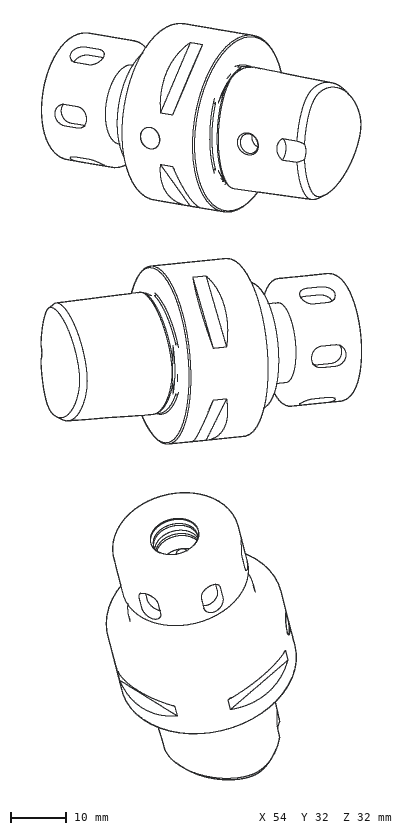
import cadquery as cq
import math

total_length = 54.0

nut_radius = 23.0 / 2
nut_length = 11.4
nut_front_fillet = 1.5
nut_back_fillet = 0.55

neck_radius = 14.35 / 2
neck_end = 16.0
neck_fillet = 0.8

collar_radius = nut_radius
collar_front_fillet = 1.0
collar_back_fillet = 0.95

flange_radius = 32.0 / 2
flange_start = 19.85
flange_end = 35.05
flange_front_fillet = 0.55
flange_back_chamfer = 0.25

lobe_height = 0.7
shank_start = 36.8
shank_mean_radius = 11.0
shank_taper = 0.025
shank_chamfer_length = 1.2
shank_chamfer_depth = 0.7
outline_step = 10
undercut_depth = 0.1
undercut_radius = 10.9
undercut_fillet = 0.3
undercut_cone_start = 35.9
undercut_flare = 0.3

slot_count = 6
slot_center_x = 6.75
slot_length = 6.6
slot_width = 4.0
slot_floor_radius = 9.3
bore_radius = 4.05
bore_mouth_radius = 8.8 / 2
bore_mouth_depth = 0.25
bore_cone_end = 0.95
bore_depth = 7.55
front_groove = (1.45, 2.75, 12.1 / 2)
rear_groove = (3.6, 4.15, 9.7 / 2)

floor_hole_diameter = 2.0
floor_hole_offset = 2.95
floor_hole_cone_start = 9.7

gripper_count = 4
gripper_first_angle = 45.0
gripper_center_x = 28.95
gripper_floor_width = 2.55
gripper_floor_radius = 14.2
gripper_wall_angle = 30.0
dimple_x = 25.9
dimple_diameter = 4.0

blind_hole_x = 42.9
blind_hole_diameter = 3.6
blind_hole_mouth_diameter = 4.3
blind_hole_depth = 4.3
drive_slot_diameter = 4.55
drive_slot_axis_y = -10.9
drive_slot_start = 49.85
drive_slot_dome_length = 1.25

drill_point_angle = 118.0
cut_margin = 0.55


def polygon_point(mean_radius, angle):
    """Point of the constant-width lobed outline whose normal is at the given angle."""
    support = mean_radius + lobe_height * math.cos(3 * angle)
    slope = -3 * lobe_height * math.sin(3 * angle)
    return (
        support * math.cos(angle) - slope * math.sin(angle),
        support * math.sin(angle) + slope * math.cos(angle),
    )


def polygon_prism(start, end, start_radius, end_radius):
    def outline(plane, mean_radius):
        angles = [math.radians(i * outline_step - 90) for i in range(360 // outline_step)]
        points = [polygon_point(mean_radius, angle) for angle in angles]
        return plane.spline(points, periodic=True, makeWire=True)

    section = outline(cq.Workplane("YZ", origin=(start, 0, 0)), start_radius)
    section = outline(section.workplane(offset=end - start), end_radius)
    return section.loft(ruled=True)


def revolve_about_x(profile):
    return profile.close().revolve(360, (0, 0, 0), (1, 0, 0))


def turned_body():
    """Nut, neck, collar and flange in one revolved outline."""
    profile = (
        cq.Workplane("XY")
        .lineTo(0, nut_radius - nut_front_fillet)
        .radiusArc((nut_front_fillet, nut_radius), nut_front_fillet)
        .lineTo(nut_length - nut_back_fillet, nut_radius)
        .radiusArc((nut_length, nut_radius - nut_back_fillet), nut_back_fillet)
        .lineTo(nut_length, neck_radius)
        .lineTo(neck_end - neck_fillet, neck_radius)
        .radiusArc((neck_end, neck_radius + neck_fillet), -neck_fillet)
        .lineTo(neck_end, collar_radius - collar_front_fillet)
        .radiusArc((neck_end + collar_front_fillet, collar_radius), collar_front_fillet)
        .lineTo(flange_start - collar_back_fillet, collar_radius)
        .radiusArc((flange_start, collar_radius + collar_back_fillet), -collar_back_fillet)
        .lineTo(flange_start, flange_radius - flange_front_fillet)
        .radiusArc((flange_start + flange_front_fillet, flange_radius), flange_front_fillet)
        .lineTo(flange_end - flange_back_chamfer, flange_radius)
        .lineTo(flange_end, flange_radius - flange_back_chamfer)
        .lineTo(flange_end, 0)
    )
    return revolve_about_x(profile)


def shank():
    chamfer_start = total_length - shank_chamfer_length
    back_radius = shank_mean_radius - shank_taper * (chamfer_start - shank_start)
    tip_radius = back_radius - shank_chamfer_depth
    main = polygon_prism(shank_start, chamfer_start, shank_mean_radius, back_radius)
    tip = polygon_prism(chamfer_start, total_length, back_radius, tip_radius)

    neck_polygon_radius = shank_mean_radius - undercut_depth
    neck_start = flange_end + undercut_flare
    neck_stop = shank_start - undercut_flare
    neck = (
        polygon_prism(flange_end, neck_start, shank_mean_radius + undercut_depth, neck_polygon_radius)
        .union(polygon_prism(neck_start, neck_stop, neck_polygon_radius, neck_polygon_radius))
        .union(polygon_prism(neck_stop, shank_start, neck_polygon_radius, shank_mean_radius))
    )
    cone_radius = undercut_radius + shank_start - undercut_cone_start
    turned = revolve_about_x(
        cq.Workplane("XY")
        .moveTo(flange_end, 0)
        .lineTo(flange_end, undercut_radius + undercut_fillet)
        .radiusArc((flange_end + undercut_fillet, undercut_radius), -undercut_fillet)
        .lineTo(undercut_cone_start, undercut_radius)
        .lineTo(shank_start, cone_radius)
        .lineTo(shank_start, 0)
    )
    return neck.intersect(turned).union(main).union(tip)


def front_bore():
    profile = (
        cq.Workplane("XY")
        .lineTo(0, bore_mouth_radius)
        .lineTo(bore_mouth_depth, bore_mouth_radius)
        .lineTo(bore_cone_end, bore_radius)
    )
    for start, end, radius in (front_groove, rear_groove):
        profile = profile.lineTo(start, bore_radius).lineTo(start, radius)
        profile = profile.lineTo(end, radius).lineTo(end, bore_radius)
    return revolve_about_x(profile.lineTo(bore_depth, bore_radius).lineTo(bore_depth, 0))


def floor_holes():
    cone_tip = floor_hole_cone_start + bore_radius / math.tan(math.radians(drill_point_angle / 2))
    pointed_core = revolve_about_x(
        cq.Workplane("XY")
        .moveTo(bore_depth, 0)
        .lineTo(bore_depth, bore_radius)
        .lineTo(floor_hole_cone_start, bore_radius)
        .lineTo(cone_tip, 0)
    )
    holes = (
        cq.Workplane("YZ", origin=(bore_depth, 0, 0))
        .pushPoints([(0, floor_hole_offset), (0, -floor_hole_offset)])
        .circle(floor_hole_diameter / 2)
        .extrude(cone_tip - bore_depth)
    )
    return holes.intersect(pointed_core)


def nut_slot():
    """Flat-bottomed slot on the -Y side of the nut."""
    return (
        cq.Workplane("XZ", origin=(slot_center_x, -slot_floor_radius, 0))
        .slot2D(slot_length, slot_width)
        .extrude(nut_radius - slot_floor_radius + cut_margin)
    )


def gripper_groove():
    """Straight groove with sloped walls on the -Y side of the flange."""
    depth = flange_radius - gripper_floor_radius + cut_margin
    half_floor = gripper_floor_width / 2
    half_mouth = half_floor + depth * math.tan(math.radians(gripper_wall_angle))
    return (
        cq.Workplane("XY", origin=(gripper_center_x, -gripper_floor_radius, 0))
        .polyline([(-half_floor, 0), (half_floor, 0), (half_mouth, -depth), (-half_mouth, -depth)])
        .close()
        .extrude(flange_radius, both=True)
    )


def dimple():
    radius = dimple_diameter / 2
    depth = radius / math.tan(math.radians(drill_point_angle / 2))
    rim_y = -math.sqrt(flange_radius**2 - radius**2)
    cone = cq.Solid.makeCone(radius, 0, depth, cq.Vector(dimple_x, rim_y, 0), cq.Vector(0, 1, 0))
    mouth = cq.Solid.makeCylinder(
        radius, cut_margin, cq.Vector(dimple_x, rim_y, 0), cq.Vector(0, -1, 0)
    )
    return cq.Workplane(cone).union(cq.Workplane(mouth))


def blind_hole():
    """Flat-bottomed hole with a 45 degree countersink."""
    surface = shank_mean_radius - lobe_height - shank_taper * (blind_hole_x - shank_start)
    sink_depth = (blind_hole_mouth_diameter - blind_hole_diameter) / 2
    sink_radius = blind_hole_mouth_diameter / 2
    hole_radius = blind_hole_diameter / 2
    return (
        cq.Workplane("XY", origin=(blind_hole_x, -surface, 0))
        .moveTo(0, -cut_margin)
        .lineTo(sink_radius + cut_margin, -cut_margin)
        .lineTo(hole_radius, sink_depth)
        .lineTo(hole_radius, blind_hole_depth)
        .lineTo(0, blind_hole_depth)
        .close()
        .revolve(360, (0, 0, 0), (0, 1, 0))
    )


def drive_slot():
    radius = drive_slot_diameter / 2
    end = total_length + cut_margin
    dome_radius = (radius**2 + drive_slot_dome_length**2) / (2 * drive_slot_dome_length)
    profile = (
        cq.Workplane("XY", origin=(0, drive_slot_axis_y, 0))
        .moveTo(drive_slot_start - drive_slot_dome_length, 0)
        .radiusArc((drive_slot_start, radius), dome_radius)
        .lineTo(end, radius)
        .lineTo(end, 0)
    )
    return revolve_about_x(profile)


def around_axis(feature, count, first_angle=0.0):
    """Evenly spaced copies of a feature turned about the part axis."""
    copies = []
    for i in range(count):
        copies.append(feature.rotate((0, 0, 0), (1, 0, 0), first_angle + i * 360 / count))
    return copies


result = turned_body().union(shank())
cutters = [front_bore(), floor_holes(), dimple(), blind_hole(), drive_slot()]
cutters += around_axis(nut_slot(), slot_count)
cutters += around_axis(gripper_groove(), gripper_count, gripper_first_angle)
for cutter in cutters:
    result = result.cut(cutter)